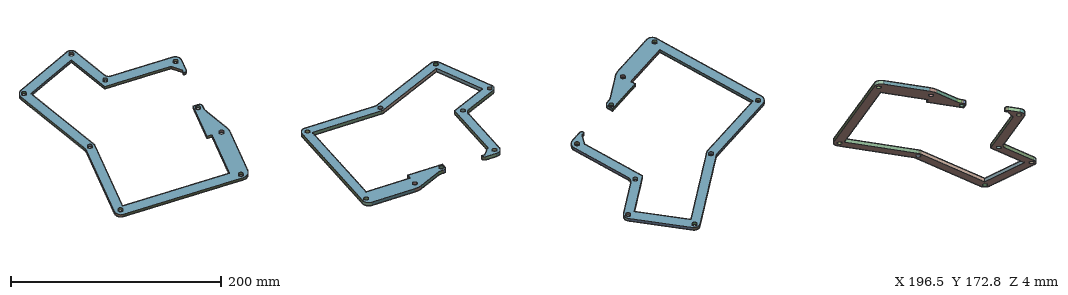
import cadquery as cq
import math

length = 196.5
depth = 173.0
thickness = 4.0
bar = 9.6
tilt = math.radians(25)
hole_diameter = 4.7

lower_edge = 37.1
arm_left = 41.5
arm_top = 159.0
hook_end = 62.3
hook_underside = 155.5
hook_root_x = 59.0
brace_foot_y = 146.8
finger_left = 101.8
finger_bottom = 150.4
finger_step_x = 139.3
finger_top = 159.0
beam_underside = 155.5
slope_start_x = 109.5

elbow_inner_y = 79.5
forearm_length = 44.5
side_length = 54.8

outer_radius = 6.7
slope_top_radius = 17.7
slope_foot_radius = 11.8
finger_radius = 3.0
hook_radius = 2.5
tilted_radius = 5.9
bend_radius = 5.9

hole_centers = [
    (47.2, 153.1),
    (43.8, 82.7),
    (4.3, 63.0),
    (31.5, 4.7),
    (111.0, 41.9),
    (190.5, 43.2),
    (192.0, 165.0),
    (139.5, 165.0),
    (105.0, 154.0),
]


def along(point, distance, angle):
    """Move a point by a distance in the given direction."""
    x, y = point
    return (x + distance * math.cos(angle), y + distance * math.sin(angle))


inner_right = length - bar
inner_bottom = lower_edge + bar
elbow_inner = (arm_left + bar, elbow_inner_y)
west_inner = along(elbow_inner, -forearm_length, tilt)
south_inner = along(west_inner, side_length, tilt - math.pi / 2)
bend_run = (inner_bottom - south_inner[1]) / math.sin(tilt)
bend_inner = along(south_inner, bend_run, tilt)

west_outer = along(along(west_inner, -bar, tilt), bar, tilt + math.pi / 2)
south_outer = along(along(south_inner, -bar, tilt), -bar, tilt + math.pi / 2)
bend_outer = (bend_inner[0] + bar * math.tan(tilt / 2), lower_edge)
elbow_outer_y = west_outer[1] + (arm_left - west_outer[0]) * math.tan(tilt)
elbow_outer = (arm_left, elbow_outer_y)

slope_start = (slope_start_x, finger_top)
slope_end = (slope_start_x + (depth - finger_top) / math.tan(tilt), depth)
finger_corner = (finger_left, finger_top)
arm_corner = (arm_left, arm_top)
hook_corner = (hook_end, arm_top)
upper_right = (length, depth)
lower_right = (length, lower_edge)

outline = [
    finger_corner,
    slope_start,
    slope_end,
    upper_right,
    lower_right,
    bend_outer,
    south_outer,
    west_outer,
    elbow_outer,
    arm_corner,
    hook_corner,
    (hook_end, hook_underside),
    (hook_root_x, hook_underside),
    (arm_left + bar, brace_foot_y),
    elbow_inner,
    west_inner,
    south_inner,
    bend_inner,
    (inner_right, inner_bottom),
    (inner_right, beam_underside),
    (finger_step_x, beam_underside),
    (finger_step_x, finger_bottom),
    (finger_left, finger_bottom),
]

corner_radii = [
    (upper_right, outer_radius),
    (lower_right, outer_radius),
    (south_outer, tilted_radius),
    (west_outer, tilted_radius),
    (arm_corner, outer_radius),
    (elbow_outer, bend_radius),
    (bend_outer, bend_radius),
    (bend_inner, bend_radius),
    (slope_start, slope_foot_radius),
    (slope_end, slope_top_radius),
    (finger_corner, finger_radius),
    (hook_corner, hook_radius),
]


def round_corner(body, corner, radius):
    """Fillet the upright edge standing at an outline corner."""
    x, y = corner
    middle = (x, y, thickness / 2)
    return body.edges(cq.selectors.NearestToPointSelector(middle)).fillet(radius)


plate = cq.Workplane("XY").polyline(outline).close().extrude(thickness)
for corner, radius in corner_radii:
    plate = round_corner(plate, corner, radius)

holes = cq.Workplane("XY").pushPoints(hole_centers).circle(hole_diameter / 2).extrude(thickness)
result = plate.cut(holes)